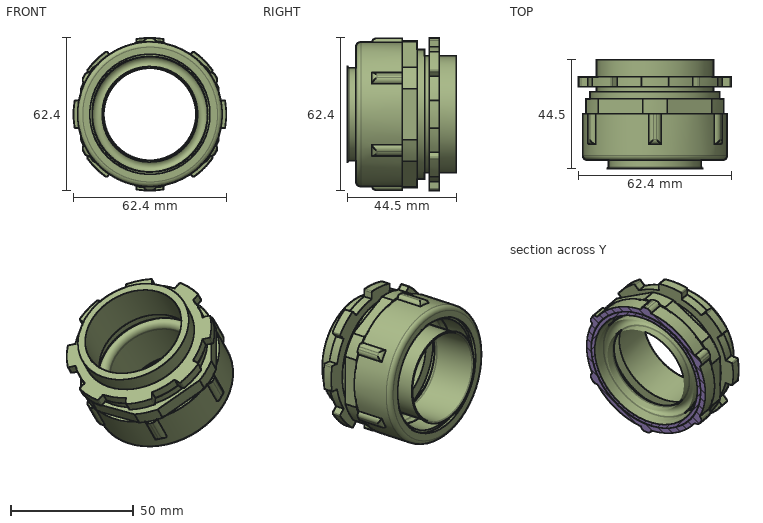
import cadquery as cq
import math


LOCKNUT_REAR = 7.0
LOCKNUT_THICKNESS = 4.1
GASKET_REAR = 13.0
GASKET_THICKNESS = 3.0
HEX_REAR = GASKET_REAR + GASKET_THICKNESS
HEX_LENGTH = 6.0
CAP_REAR = HEX_REAR + HEX_LENGTH
CAP_LENGTH = 19.0
CAP_FRONT = CAP_REAR + CAP_LENGTH
SEAL_INSET = 1.5
SEAL_FRONT = CAP_FRONT - SEAL_INSET
FERRULE_FRONT = 44.5
GROOVE_STATION = 24.9
SEAL_REAR = 28.75
COUNTERBORE_FLOOR = 17.5

NECK_DIAMETER = 47.8
NECK_BORE = 41.5
COUNTERBORE_DIAMETER = 50.5
THREAD_DIAMETER = 54.38
HEX_ACROSS_FLATS = 56.25
HEX_CORNER_DIAMETER = 60.0

GASKET_DIAMETER = 53.0

LOCKNUT_DIAMETER = 62.4
LOCKNUT_ROOT_DIAMETER = 56.0
LUG_COUNT = 8
LUG_WIDTH = 11.3
LUG_CORNER_RADIUS = 0.5

CAP_DIAMETER = 59.0
CAP_BORE = 49.0
CAP_EDGE_RADIUS = 2.0
RIB_COUNT = 6
RIB_WIDTH = 5.2
RIB_LENGTH = 12.5
RIB_TOP_RADIUS = 31.05
RIB_EDGE_RADIUS = 2.0
RIB_ROOT_RADIUS = 28.0

SEAL_BORE = 47.0
TUBE_DIAMETER = 38.0
SHEET = 0.25
FLARE_RADIUS = 0.5


def station_plane(station):
    """Workplane square to the axis, extruding towards the front."""
    return cq.Workplane("XZ", origin=(0, -station, 0))


def ring(outer, inner, start, end):
    """Plain ring between two stations, from its two diameters."""
    return station_plane(start).circle(outer / 2).circle(inner / 2).extrude(end - start)


def disc(diameter, start, end):
    """Plain solid disc between two stations."""
    return station_plane(start).circle(diameter / 2).extrude(end - start)


def make_body():
    """Threaded neck, hexagon with rounded-off corners and a threaded spigot inside the cap."""
    neck = disc(NECK_DIAMETER, 0, HEX_REAR)
    hex_corners = HEX_ACROSS_FLATS / math.cos(math.pi / 6)
    hexagon = (
        station_plane(HEX_REAR)
        .transformed(rotate=(0, 0, 30))
        .polygon(6, hex_corners)
        .extrude(HEX_LENGTH)
        .intersect(disc(HEX_CORNER_DIAMETER, HEX_REAR, CAP_REAR))
    )
    spigot_front = SEAL_REAR - SHEET
    spigot = disc(THREAD_DIAMETER, CAP_REAR, spigot_front)
    return (
        neck.union(hexagon)
        .union(spigot)
        .cut(disc(NECK_BORE, 0, COUNTERBORE_FLOOR))
        .cut(disc(COUNTERBORE_DIAMETER, COUNTERBORE_FLOOR, spigot_front))
    )


def make_gasket():
    """Flat sealing ring against the hexagon."""
    return ring(GASKET_DIAMETER, NECK_DIAMETER, GASKET_REAR, HEX_REAR)


def make_locknut():
    """Flat ring nut with parallel-sided lugs around its rim."""
    front = LOCKNUT_REAR + LOCKNUT_THICKNESS
    nut = disc(LOCKNUT_ROOT_DIAMETER, LOCKNUT_REAR, front)
    rim = disc(LOCKNUT_DIAMETER, LOCKNUT_REAR, front)
    bar = (
        station_plane(LOCKNUT_REAR)
        .rect(LOCKNUT_DIAMETER, LUG_WIDTH)
        .extrude(LOCKNUT_THICKNESS)
        .intersect(rim)
        .edges("|Y")
        .fillet(LUG_CORNER_RADIUS)
    )
    for index in range(LUG_COUNT // 2):
        nut = nut.union(bar.rotate((0, 0, 0), (0, 1, 0), index * 360 / LUG_COUNT))
    return nut.cut(disc(NECK_DIAMETER, LOCKNUT_REAR, front))


def make_cap():
    """Union cap with a rounded front edge, a stepped bore and grip ribs."""
    cap = disc(CAP_DIAMETER, CAP_REAR, CAP_FRONT).faces("<Y").edges().fillet(CAP_EDGE_RADIUS)
    rib_height = RIB_TOP_RADIUS - RIB_ROOT_RADIUS
    rib = (
        station_plane(CAP_REAR)
        .center(0, RIB_ROOT_RADIUS + rib_height / 2)
        .rect(RIB_WIDTH, rib_height)
        .extrude(RIB_LENGTH)
        .faces(">Z")
        .edges("|Y or <Y")
        .fillet(RIB_EDGE_RADIUS)
    )
    for index in range(RIB_COUNT):
        cap = cap.union(rib.rotate((0, 0, 0), (0, 1, 0), index * 360 / RIB_COUNT))
    return cap.cut(disc(THREAD_DIAMETER, CAP_REAR, SEAL_REAR)).cut(
        disc(CAP_BORE, SEAL_REAR, CAP_FRONT)
    )


def make_seal():
    """Sleeve in the cap bore, resting on the ferrule flange."""
    return ring(CAP_BORE, SEAL_BORE, SEAL_REAR, SEAL_FRONT)


def make_ferrule():
    """Sheet tube flared at the front, folded back into a leg at the rear and ending in a flange."""
    tube_outer = TUBE_DIAMETER / 2
    tube_inner = tube_outer - SHEET
    leg_inner = SEAL_BORE / 2
    leg_outer = leg_inner + SHEET
    flange_outer = THREAD_DIAMETER / 2
    groove_radius = (leg_inner - tube_outer) / 2
    groove_centre = tube_outer + groove_radius
    flange_rear = SEAL_REAR - SHEET
    lip_outer = tube_outer + FLARE_RADIUS
    lip_rear = FERRULE_FRONT - SHEET
    flare_start = lip_rear - FLARE_RADIUS
    diagonal = math.sqrt(0.5)
    flare_inner_radius = FLARE_RADIUS + SHEET
    flare_inner_mid = (
        lip_outer - flare_inner_radius * diagonal,
        -flare_start - flare_inner_radius * diagonal,
    )
    flare_outer_mid = (
        lip_outer - FLARE_RADIUS * diagonal,
        -flare_start - FLARE_RADIUS * diagonal,
    )
    return (
        cq.Workplane("XY")
        .moveTo(tube_inner, -GROOVE_STATION)
        .lineTo(tube_inner, -flare_start)
        .threePointArc(flare_inner_mid, (lip_outer, -FERRULE_FRONT))
        .lineTo(lip_outer, -lip_rear)
        .threePointArc(flare_outer_mid, (tube_outer, -flare_start))
        .lineTo(tube_outer, -GROOVE_STATION)
        .threePointArc((groove_centre, groove_radius - GROOVE_STATION), (leg_inner, -GROOVE_STATION))
        .lineTo(leg_inner, -SEAL_REAR)
        .lineTo(flange_outer, -SEAL_REAR)
        .lineTo(flange_outer, -flange_rear)
        .lineTo(leg_outer, -flange_rear)
        .lineTo(leg_outer, -GROOVE_STATION)
        .threePointArc(
            (groove_centre, groove_radius + SHEET - GROOVE_STATION), (tube_inner, -GROOVE_STATION)
        )
        .close()
        .revolve(360, (0, 0, 0), (0, 1, 0))
    )


body = make_body()
gasket = make_gasket()
locknut = make_locknut()
cap = make_cap()
seal = make_seal()
ferrule = make_ferrule()

result = cq.Compound.makeCompound(
    [body.val(), gasket.val(), locknut.val(), cap.val(), seal.val(), ferrule.val()]
)